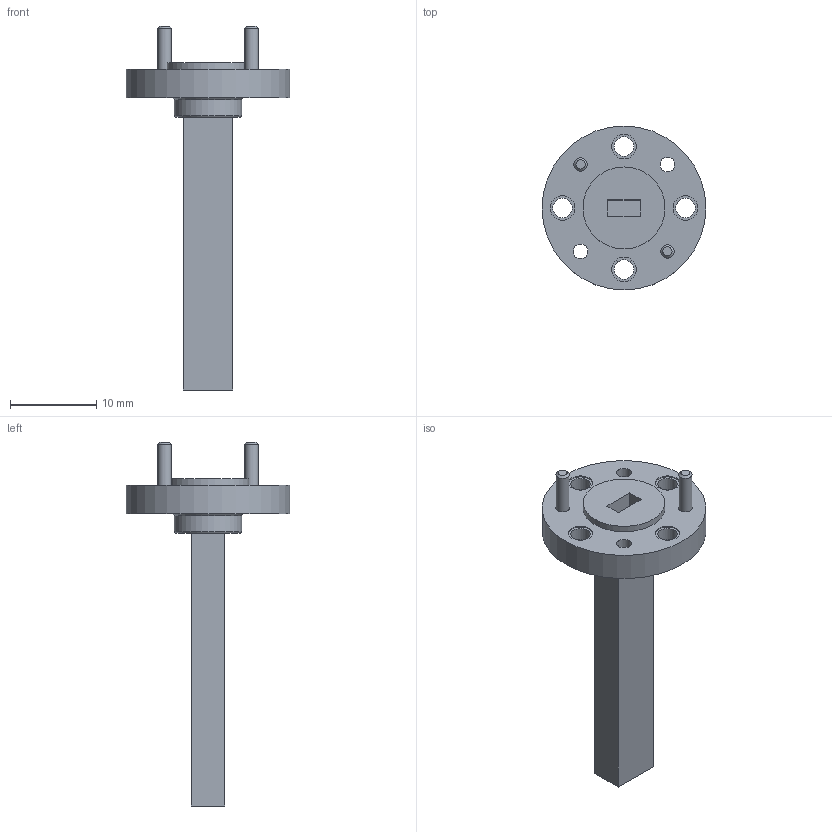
import cadquery as cq
import math


overall_height = 42.32
pin_height = 5.02
tube_bottom = pin_height - overall_height

flange_diameter = 19.05
flange_thickness = 3.3
boss_diameter = 9.53
boss_height = 0.76

collar_diameter = 7.9
collar_length = 2.3
collar_fillet = 0.25
collar_flare_width = 0.22
collar_flare_height = 0.25

bore_x = 3.76
bore_y = 1.88
wall = 1.016
tube_x = bore_x + 2 * wall
tube_y = bore_y + 2 * wall
end_plate_thickness = 1.0

bolt_circle_radius = 14.29 / 2
screw_hole_diameter = 2.26
counterbore_diameter = 2.85
counterbore_depth = 0.15
alignment_hole_diameter = 1.7
pin_diameter = 1.56
pin_chamfer = 0.25

screw_hole_angles = (0, 90, 180, 270)
alignment_hole_angles = (45, 225)
pin_angles = (135, 315)


def disc(diameter, bottom, height):
    """Upright cylinder on the part's axis."""
    return cq.Workplane("XY", origin=(0, 0, bottom)).circle(diameter / 2).extrude(height)


def block(size_x, size_y, bottom, top):
    """Upright rectangular block centred on the part's axis."""
    return cq.Workplane("XY", origin=(0, 0, bottom)).rect(size_x, size_y).extrude(top - bottom)


def on_bolt_circle(shape, angle_degrees):
    """Move a shape from the axis to its place on the bolt circle."""
    angle = math.radians(angle_degrees)
    return shape.translate((bolt_circle_radius * math.cos(angle), bolt_circle_radius * math.sin(angle), 0))


def make_flange():
    """Flange disc with the raised contact face on top."""
    flange = disc(flange_diameter, -flange_thickness, flange_thickness)
    return flange.union(disc(boss_diameter, 0, boss_height))


def make_collar():
    """Collar rounded at the bottom, with a conical flare where it meets the flange."""
    collar = disc(collar_diameter, -flange_thickness - collar_length, collar_length)
    collar = collar.faces("<Z").edges().fillet(collar_fillet)
    flare_bottom = -flange_thickness - collar_flare_height
    collar_radius = collar_diameter / 2
    flare = cq.Solid.makeCone(
        collar_radius,
        collar_radius + collar_flare_width,
        collar_flare_height,
        pnt=cq.Vector(0, 0, flare_bottom),
    )
    return collar.union(cq.Workplane(flare))


def make_screw_hole():
    """Through hole with a shallow flat-bottomed counterbore at the flange face."""
    hole = disc(screw_hole_diameter, -flange_thickness, flange_thickness)
    return hole.union(disc(counterbore_diameter, -counterbore_depth, counterbore_depth))


def make_pin():
    """Alignment pin with a chamfered tip, seated through the flange."""
    pin = disc(pin_diameter, -flange_thickness, flange_thickness + pin_height)
    return pin.faces(">Z").chamfer(pin_chamfer)


result = make_flange().union(make_collar())
result = result.union(block(tube_x, tube_y, tube_bottom, 0))
result = result.cut(block(bore_x, bore_y, tube_bottom + end_plate_thickness, boss_height))

for hole_angle in screw_hole_angles:
    result = result.cut(on_bolt_circle(make_screw_hole(), hole_angle))

for hole_angle in alignment_hole_angles:
    alignment_hole = disc(alignment_hole_diameter, -flange_thickness, flange_thickness)
    result = result.cut(on_bolt_circle(alignment_hole, hole_angle))

for pin_angle in pin_angles:
    result = result.union(on_bolt_circle(make_pin(), pin_angle))